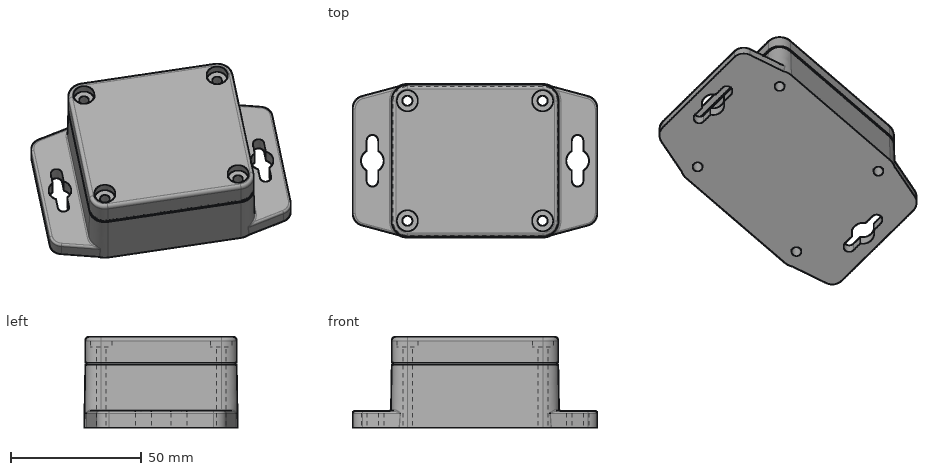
import cadquery as cq
import math

ear_span = 94.0
base_width = 59.0
total_height = 35.0

screw_x = 25.9
screw_y = 23.0
corner_radius = base_width / 2 - screw_y
draft_angle = 1.0
base_height = 24.2

lid_corner_radius = corner_radius - base_height * math.tan(math.radians(draft_angle))
lid_edge_fillet = 1.5
groove_height = 0.8
groove_depth = 0.5

screw_hole_diameter = 3.8
counterbore_diameter = 8.1
counterbore_depth = 3.8

ear_thickness = 6.5
ear_side_angle = 15.0
ear_tip_half_width = 23.9
ear_root_x = 27.5
ear_corner_radius = 5.0
ear_edge_fillet = 0.9
ear_root_fillet = 0.6

slot_x = 39.4
slot_length = 19.7
slot_width = 4.3
keyhole_diameter = 8.65


def rounded_block(radius, bottom, height, taper=0.0):
    """Block whose corner arcs of the given radius are centred on the screw axes."""
    outline = cq.Sketch().rect(2 * (screw_x + radius), 2 * (screw_y + radius)).vertices().fillet(radius)
    return cq.Workplane("XY").workplane(offset=bottom).placeSketch(outline).extrude(height, taper=taper)


def screw_holes(bottom, diameter):
    """Four vertical cutters from the given level up to the top of the lid."""
    return (
        cq.Workplane("XY")
        .workplane(offset=bottom)
        .rect(2 * screw_x, 2 * screw_y, forConstruction=True)
        .vertices()
        .circle(diameter / 2)
        .extrude(total_height - bottom)
    )


def make_ear():
    """Mounting ear on the +X side, with its outer corners and top edges rounded."""
    tip_x = ear_span / 2
    root_half_width = ear_tip_half_width + (tip_x - ear_root_x) * math.tan(math.radians(ear_side_angle))
    ear = (
        cq.Workplane("XY")
        .polyline([
            (ear_root_x, -root_half_width),
            (tip_x, -ear_tip_half_width),
            (tip_x, ear_tip_half_width),
            (ear_root_x, root_half_width),
        ])
        .close()
        .extrude(ear_thickness)
    )
    ear = ear.edges("|Z and >X").fillet(ear_corner_radius)
    return ear.faces(">Z").edges("not(<X)").fillet(ear_edge_fillet)


def keyhole_slot():
    """Slot with a round opening in its middle, cutting through the +X ear."""
    slot = cq.Workplane("XY").center(slot_x, 0).slot2D(slot_length, slot_width, 90).extrude(ear_thickness)
    opening = cq.Workplane("XY").center(slot_x, 0).circle(keyhole_diameter / 2).extrude(ear_thickness)
    return slot.union(opening)


def blend_ear_root(base, side):
    """Fillet the seam between the top of one ear and the wall of the base; side is +1 or -1."""
    wall_x = screw_x + corner_radius - ear_thickness * math.tan(math.radians(draft_angle))
    seam = cq.selectors.NearestToPointSelector((side * wall_x, 0, ear_thickness))
    return base.edges(seam).fillet(ear_root_fillet)


def make_base():
    """Drafted box with two mounting ears."""
    base = rounded_block(corner_radius, 0, base_height, draft_angle)
    ear = make_ear()
    slot = keyhole_slot()
    for side, turn in ((1, 0), (-1, 180)):
        base = base.union(ear.rotate((0, 0, 0), (0, 0, 1), turn))
        base = blend_ear_root(base, side)
        base = base.cut(slot.rotate((0, 0, 0), (0, 0, 1), turn))
    return base.cut(screw_holes(0, screw_hole_diameter))


def make_lid():
    """Lid with a rounded top edge, standing on a recessed neck that forms the groove."""
    neck = rounded_block(lid_corner_radius - groove_depth, base_height, groove_height)
    lid_bottom = base_height + groove_height
    lid = rounded_block(lid_corner_radius, lid_bottom, total_height - lid_bottom)
    lid = lid.faces(">Z").edges().fillet(lid_edge_fillet).union(neck)
    lid = lid.cut(screw_holes(base_height, screw_hole_diameter))
    return lid.cut(screw_holes(total_height - counterbore_depth, counterbore_diameter))


base = make_base()
lid = make_lid()
result = cq.Compound.makeCompound([base.val(), lid.val()])